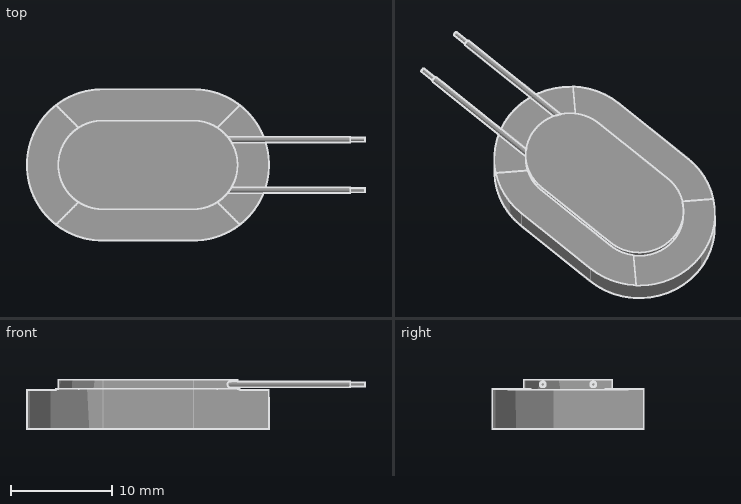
import cadquery as cq

overall_length = 33.5
overall_height = 4.9
body_length = 24.0
body_width = 15.0
end_height = 3.9
side_height = 4.0
cap_width = 8.78
sector_apex_x = 3.18
wire_diameter = 0.6
core_diameter = 0.45
core_length = 1.5
wire_spacing = 5.0
wire_height = 4.42

straight_length = body_length - body_width
cap_length = straight_length + cap_width
wire_end_x = overall_length - body_length / 2
insulation_end_x = wire_end_x - core_length
wire_start_x = straight_length / 2


def oval(length, width, height):
    """Prism with two half-round ends, standing on the XY plane."""
    return cq.Workplane("XY").slot2D(length, width).extrude(height)


def raised_side(side):
    """Raised rim sector on the +Y (side=1) or -Y (side=-1) edge."""
    half_width = body_width / 2
    outer_x = sector_apex_x + half_width
    sector = (
        cq.Workplane("XY")
        .moveTo(-sector_apex_x, 0)
        .lineTo(sector_apex_x, 0)
        .lineTo(outer_x, side * half_width)
        .lineTo(-outer_x, side * half_width)
        .close()
        .extrude(side_height)
    )
    return sector.intersect(oval(body_length, body_width, side_height))


def rod(diameter, end_x, y):
    """Round rod along X, starting inside the cap."""
    return (
        cq.Workplane("YZ", origin=(wire_start_x, y, wire_height))
        .circle(diameter / 2)
        .extrude(end_x - wire_start_x)
    )


result = oval(body_length, body_width, end_height)
for side in (1, -1):
    result = result.union(raised_side(side))
result = result.union(oval(cap_length, cap_width, overall_height))

for side in (1, -1):
    wire_y = side * wire_spacing / 2
    result = result.union(rod(wire_diameter, insulation_end_x, wire_y))
    result = result.union(rod(core_diameter, wire_end_x, wire_y))